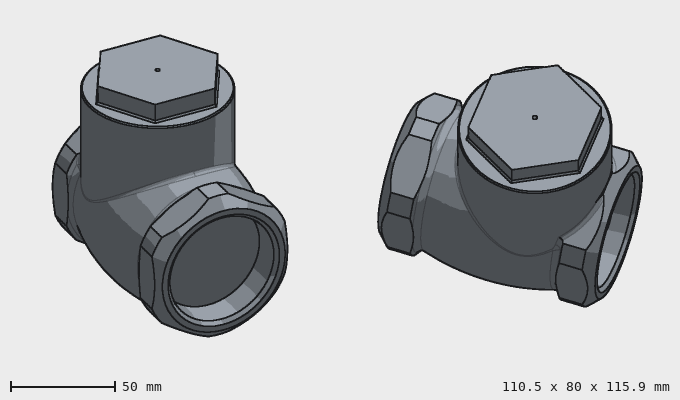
import cadquery as cq
import math


BARREL_MID_RADIUS = 40.0
BARREL_END_RADIUS = 35.2
BARREL_HALF_LENGTH = 32.9

LENGTH = 110.5
HALF_LENGTH = LENGTH / 2
NUT_ACROSS_FLATS = 72.0
NUT_CORNER_RADIUS = 38.8
NUT_CHAMFER = 5.6
NUT_BACK_ANGLE = math.radians(60)
ROOT_RADIUS = 3.4

MOUTH_RADIUS = 30.1
SOCKET_RADIUS = 28.2
SOCKET_TAPER = 1 / 16
SOCKET_DEPTH = 16.0

NECK_X = -12.6
NECK_DIAMETER = 73.8
NECK_TOP = 66.1
NECK_CHAMFER = 0.7
NECK_FILLET = 2.2
TOLERANCE = 0.01

TOTAL_HEIGHT = 115.9
CAP_TOP = TOTAL_HEIGHT - BARREL_MID_RADIUS
CAP_ACROSS_FLATS = 56.1
CAP_SKIRT = 0.9
CENTER_MARK_DIAMETER = 2.2


def hexagon_diameter(across_flats):
    """Corner-to-corner size of a hexagon."""
    return across_flats / math.cos(math.pi / 6)


def barrel():
    return (
        cq.Workplane("XY")
        .moveTo(-BARREL_HALF_LENGTH, 0)
        .lineTo(-BARREL_HALF_LENGTH, BARREL_END_RADIUS)
        .threePointArc((0, BARREL_MID_RADIUS), (BARREL_HALF_LENGTH, BARREL_END_RADIUS))
        .lineTo(BARREL_HALF_LENGTH, 0)
        .close()
        .revolve(360, (0, 0, 0), (1, 0, 0))
    )


def end_nut():
    """Nut at the +X end, with the groove that runs from the barrel up to its back face."""
    bulge = BARREL_MID_RADIUS - BARREL_END_RADIUS
    barrel_slope = 2 * math.atan(bulge / BARREL_HALF_LENGTH)
    root_x = BARREL_HALF_LENGTH + ROOT_RADIUS * math.sin(barrel_slope)
    root_height = BARREL_END_RADIUS + ROOT_RADIUS * math.cos(barrel_slope)
    groove_low = (root_x, root_height - ROOT_RADIUS)
    groove_end = (
        root_x + ROOT_RADIUS * math.sin(NUT_BACK_ANGLE),
        root_height - ROOT_RADIUS * math.cos(NUT_BACK_ANGLE),
    )
    rim_x = groove_end[0] + (NUT_CORNER_RADIUS - groove_end[1]) / math.tan(NUT_BACK_ANGLE)

    turned = (
        cq.Workplane("XY")
        .moveTo(BARREL_HALF_LENGTH, 0)
        .lineTo(BARREL_HALF_LENGTH, BARREL_END_RADIUS)
        .threePointArc(groove_low, groove_end)
        .lineTo(rim_x, NUT_CORNER_RADIUS)
        .lineTo(HALF_LENGTH, NUT_CORNER_RADIUS)
        .lineTo(HALF_LENGTH, 0)
        .close()
        .revolve(360, (0, 0, 0), (1, 0, 0))
    )
    hexagon = (
        cq.Workplane("YZ")
        .polygon(6, hexagon_diameter(NUT_ACROSS_FLATS))
        .extrude(HALF_LENGTH)
        .rotate((0, 0, 0), (1, 0, 0), 90)
    )
    return turned.intersect(hexagon)


def nut_chamfer():
    """Ring that bevels the outer face of the +X nut, wide enough to trim the neck fillet too."""
    outer_radius = NUT_CORNER_RADIUS + 2 * NECK_FILLET
    return (
        cq.Workplane("XY")
        .moveTo(HALF_LENGTH - NUT_CHAMFER, NUT_CORNER_RADIUS)
        .lineTo(HALF_LENGTH, NUT_CORNER_RADIUS - NUT_CHAMFER)
        .lineTo(HALF_LENGTH, outer_radius)
        .lineTo(HALF_LENGTH - NUT_CHAMFER, outer_radius)
        .close()
        .revolve(360, (0, 0, 0), (1, 0, 0))
    )


def socket():
    """Blind tapered socket at the +X end with a 45 degree mouth."""
    mouth_depth = MOUTH_RADIUS - SOCKET_RADIUS
    floor_radius = SOCKET_RADIUS - (SOCKET_DEPTH - mouth_depth) * SOCKET_TAPER / 2
    floor_x = HALF_LENGTH - SOCKET_DEPTH
    return (
        cq.Workplane("XY")
        .moveTo(floor_x, 0)
        .lineTo(floor_x, floor_radius)
        .lineTo(HALF_LENGTH - mouth_depth, SOCKET_RADIUS)
        .lineTo(HALF_LENGTH, MOUTH_RADIUS)
        .lineTo(HALF_LENGTH, 0)
        .close()
        .revolve(360, (0, 0, 0), (1, 0, 0))
    )


def neck():
    """Solid neck from the pipe axis up; its lower part also shows inside the -X socket."""
    return (
        cq.Workplane("XY")
        .center(NECK_X, 0)
        .circle(NECK_DIAMETER / 2)
        .extrude(NECK_TOP)
        .faces(">Z")
        .chamfer(NECK_CHAMFER)
    )


def cap():
    """Hexagonal head with corners on Y, a sloped skirt and a conical center mark."""

    def hexagon_wire(across_flats):
        return (
            cq.Workplane("XY", origin=(NECK_X, 0, NECK_TOP))
            .transformed(rotate=(0, 0, 90))
            .polygon(6, hexagon_diameter(across_flats))
        )

    head = hexagon_wire(CAP_ACROSS_FLATS).extrude(CAP_TOP - NECK_TOP)
    skirt = hexagon_wire(CAP_ACROSS_FLATS + 2 * CAP_SKIRT).extrude(CAP_SKIRT, taper=45)
    mark_radius = CENTER_MARK_DIAMETER / 2
    mark = cq.Workplane(
        cq.Solid.makeCone(0, mark_radius, mark_radius, pnt=(NECK_X, 0, CAP_TOP - mark_radius))
    )
    return head.union(skirt).cut(mark)


def mirrored_pair(part):
    return part.union(part.mirror("YZ"))


def on_neck_foot(edge):
    """True for an edge where the side of the neck meets the pipe, on either side of the XZ plane.

    The short edge across the top corner of the -X nut is centered on that plane and stays sharp.
    """
    points = [edge.positionAt(fraction) for fraction in (0, 0.5, 1)]
    neck_radius = NECK_DIAMETER / 2
    on_side = all(
        abs(math.hypot(point.x - NECK_X, point.y) - neck_radius) < TOLERANCE for point in points
    )
    off_center = abs(edge.Center().y) > TOLERANCE
    below_rim = edge.BoundingBox().zmax < NECK_TOP - 2 * NECK_CHAMFER
    return on_side and off_center and below_rim and edge.BoundingBox().zmin > TOLERANCE


pipe = barrel().union(mirrored_pair(end_nut()))
body = pipe.union(neck())
foot_edges = [edge for edge in body.edges().vals() if on_neck_foot(edge)]
body = body.newObject(foot_edges).fillet(NECK_FILLET)

body = body.cut(mirrored_pair(nut_chamfer())).cut(mirrored_pair(socket()))

result = body.union(neck()).union(cap())